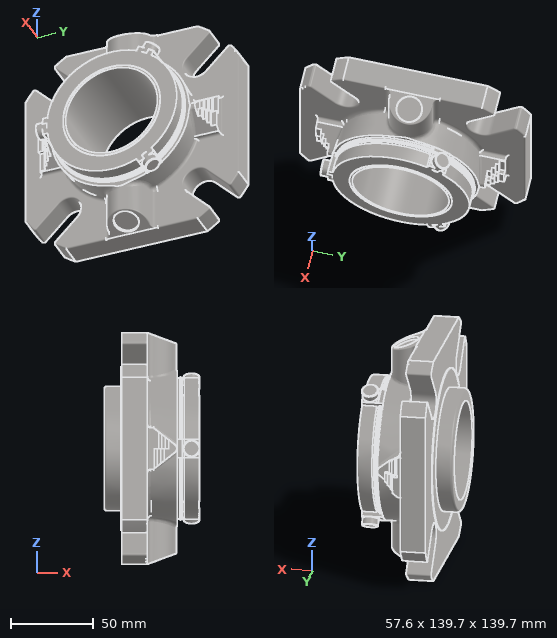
import cadquery as cq
import math


SLEEVE_START = -9.95
SLEEVE_END = 47.68
SLEEVE_BORE_DIA = 59.99
SLEEVE_DIA = 63.48
SLEEVE_COLLAR_DIA = 75.16
SLEEVE_COLLAR_FILLET = 1.5

FLANGE_SIZE = 139.7
CORNER_DIA = 164.0
FLANGE_START = 0.5
FLANGE_END = 16.1
FLANGE_EDGE_FILLET = 1.1
RAISED_FACE_DIA = 98.5
SLOT_ANGLES = [45, 135, 225, 315]
SLOT_WIDTH = 17.4
SLOT_CENTRE_RADIUS = 59.6
SLOT_MOUTH_FILLET = 1.5

BODY_START_DIA = 88.0
BODY_END_DIA = 90.2
BODY_END = 34.2
BODY_OVERLONG_END = 45.0
CONE_TOLERANCE = 0.01
BODY_ROOT_FILLET = 2.3

BOSS_START = 15.0
BOSS_SHOULDER = 19.6
BOSS_INNER_RADIUS = 36.0
PORT_ROOT_FILLET = 2.8
STEP_ROOT_FILLET = 1.5

PORT_ANGLES = [0, 180]
PORT_TIP = 33.7
PORT_HALF_WIDTH = 13.4
PORT_FLARE = 3.5
PORT_FACE_ANGLE = 20.5
PORT_EDGE_FILLET = 0.7
PORT_HOLE_DIA = 15.5
PORT_HOLE_DEPTH = 1.5
PORT_HOLE_X = 24.8

STEP_ANGLES = [90, 270]
STEP_TIP = 33.85
STEP_HALF_WIDTH = 12.6
STEP_TIP_HALF_WIDTH = 2.6
STEP_NOSE_START = 32.4
STEP_FLARE = 1.8
STEP_RADII = [58.2, 54.8, 53.0, 51.1]
STEP_ENDS = [22.8, 24.7, 26.9, 28.9]
STEP_TIP_RADIUS = 48.7
STEP_HALF_OFFSET = 2.7

NECK_DIA = 85.22
NECK_END = 37.1
RING_DIA = 86.74
RING_CENTRE = 36.1
RING_WIDTH = 0.4
RING_GROOVE_WIDTH = 0.3
RING_GROOVE_DEPTH = 0.6

LOCK_COLLAR_DIA = 85.22
LOCK_COLLAR_START = 38.3
LOCK_COLLAR_END = 47.35
LOCK_COLLAR_BEVEL_LENGTH = 0.7
LOCK_COLLAR_BEVEL_DEPTH = 0.15
GAP_DIA = 63.98

CLIP_ANGLES = [90, 210, 330]
CLIP_WIDTH = 11.4
CLIP_INNER_RADIUS = 42.3
CLIP_OUTER_RADIUS = 45.4
CLIP_RIB_RADIUS = 41.0
CLIP_GROOVE_DEPTH = 0.15
SCREW_X = 42.68
SCREW_DIA = 10.0
SCREW_TOP_RADIUS = 49.8
SCREW_BEVEL = 0.4


def disc(start, end, dia):
    """Cylinder about the shaft axis from X = start to X = end."""
    return cq.Workplane("YZ").workplane(offset=start).circle(dia / 2).extrude(end - start)


def turned(points):
    """Solid of revolution about the shaft axis from (x, radius) points."""
    return cq.Workplane("XY").polyline(points).close().revolve(360, (0, 0, 0), (1, 0, 0))


def around_axis(shape, angle):
    """Turn a feature about the shaft axis, from +Z towards -Y."""
    return shape.rotate((0, 0, 0), (1, 0, 0), angle)


def is_slot_mouth(point):
    """True where a slot wall meets the rounded corner of the flange."""
    on_corner = math.isclose(math.hypot(point.y, point.z), CORNER_DIA / 2, rel_tol=1e-4)
    return on_corner and max(abs(point.y), abs(point.z)) < FLANGE_SIZE / 2 - SLOT_MOUTH_FILLET


def make_flange():
    """Square flange with open bolt slots and a raised mounting face."""
    thickness = FLANGE_END - FLANGE_START
    plate = (
        cq.Workplane("YZ", origin=(FLANGE_START, 0, 0))
        .rect(FLANGE_SIZE, FLANGE_SIZE)
        .extrude(thickness)
    )
    plate = plate.intersect(disc(FLANGE_START, FLANGE_END, CORNER_DIA))

    slot_length = CORNER_DIA / 2
    slot = (
        cq.Workplane("XY", origin=(FLANGE_START, 0, SLOT_CENTRE_RADIUS))
        .rect(thickness, SLOT_WIDTH)
        .extrude(slot_length)
        .translate((thickness / 2, 0, 0))
    )
    slot_end = disc(FLANGE_START, FLANGE_END, SLOT_WIDTH).translate((0, 0, SLOT_CENTRE_RADIUS))
    slot = slot.union(slot_end)
    for angle in SLOT_ANGLES:
        plate = plate.cut(around_axis(slot, angle))

    mouth_edges = plate.edges("|X").filter(lambda edge: is_slot_mouth(edge.Center()))
    plate = mouth_edges.fillet(SLOT_MOUTH_FILLET)
    plate = plate.faces(">X").edges().fillet(FLANGE_EDGE_FILLET)
    return plate.union(disc(0, FLANGE_START, RAISED_FACE_DIA))


def body_radius(x):
    """Radius of the body cone at X = x."""
    taper = (BODY_END_DIA - BODY_START_DIA) / (BODY_END - FLANGE_END)
    return (BODY_START_DIA + taper * (x - FLANGE_END)) / 2


def is_boss_root(edge):
    """True for an edge that lies on the body cone, away from both its ends."""
    points = [edge.positionAt(place) for place in (0, 0.5, 1)]
    on_cone = all(abs(math.hypot(p.y, p.z) - body_radius(p.x)) < CONE_TOLERANCE for p in points)
    between_ends = BOSS_START + CONE_TOLERANCE < points[1].x < BODY_OVERLONG_END - CONE_TOLERANCE
    return on_cone and between_ends and edge.geomType() != "LINE"


def make_root_fillet():
    """Ring that blends the start of the body into the flange."""
    fillet_end = FLANGE_END + BODY_ROOT_FILLET
    start_radius = body_radius(fillet_end)
    outer = start_radius + BODY_ROOT_FILLET
    bend = BODY_ROOT_FILLET * (1 - math.sqrt(0.5))
    return (
        cq.Workplane("XY")
        .moveTo(FLANGE_START, 0)
        .lineTo(FLANGE_START, outer)
        .lineTo(FLANGE_END, outer)
        .threePointArc((FLANGE_END + bend, start_radius + bend), (fillet_end, start_radius))
        .lineTo(fillet_end, 0)
        .close()
        .revolve(360, (0, 0, 0), (1, 0, 0))
    )


def make_gland(boss, angles, root_fillet):
    """Cone with bosses blended into it; built overlong, then trimmed to the body length."""
    gland = turned([
        (BOSS_START, 0),
        (BOSS_START, body_radius(BOSS_START)),
        (BODY_OVERLONG_END, body_radius(BODY_OVERLONG_END)),
        (BODY_OVERLONG_END, 0),
    ])
    for angle in angles:
        gland = gland.union(around_axis(boss, angle))
    root_edges = gland.edges().filter(is_boss_root)
    blended = root_edges.fillet(root_fillet)
    return blended.intersect(disc(BOSS_START, BODY_END, 2 * FLANGE_SIZE))


def make_port_boss():
    """Boss towards +Z with a round nose, flared foot and shallow round recess."""
    flare_end = BOSS_SHOULDER - PORT_FLARE
    bend = PORT_FLARE * (1 - math.sqrt(0.5))
    foot = PORT_HALF_WIDTH + PORT_FLARE
    top = FLANGE_SIZE / 2
    boss = (
        cq.Workplane("XY", origin=(0, 0, BOSS_INNER_RADIUS))
        .moveTo(BOSS_START, -foot)
        .lineTo(flare_end, -foot)
        .threePointArc((flare_end + bend, -PORT_HALF_WIDTH - bend), (BOSS_SHOULDER, -PORT_HALF_WIDTH))
        .threePointArc((PORT_TIP, 0), (BOSS_SHOULDER, PORT_HALF_WIDTH))
        .threePointArc((flare_end + bend, PORT_HALF_WIDTH + bend), (flare_end, foot))
        .lineTo(BOSS_START, foot)
        .close()
        .extrude(top - BOSS_INNER_RADIUS)
    )
    slope = math.tan(math.radians(PORT_FACE_ANGLE))
    drop = slope * (PORT_TIP - FLANGE_END)
    above_face = (
        cq.Workplane("XZ", origin=(0, foot, 0))
        .polyline([(FLANGE_END, top), (PORT_TIP, top), (PORT_TIP, top - drop)])
        .close()
        .extrude(2 * foot)
    )
    boss = boss.cut(above_face)
    hole_z = top - slope * (PORT_HOLE_X - FLANGE_END)
    sloped_face = boss.faces(cq.selectors.NearestToPointSelector((PORT_HOLE_X, 0, hole_z)))
    boss = sloped_face.edges(">X").fillet(PORT_EDGE_FILLET)

    hole = (
        cq.Workplane("XY")
        .circle(PORT_HOLE_DIA / 2)
        .extrude(2 * PORT_HOLE_DEPTH)
        .translate((0, 0, -PORT_HOLE_DEPTH))
        .rotate((0, 0, 0), (0, 1, 0), PORT_FACE_ANGLE)
        .translate((PORT_HOLE_X, 0, hole_z))
    )
    return boss.cut(hole)


def make_stair(shift, y_end):
    """Staircase block for one half of a stepped boss, with its treads cut short by the given shift."""
    flare_end = FLANGE_END + STEP_FLARE
    bend = STEP_FLARE * (1 - math.sqrt(0.5))
    base_radius = STEP_RADII[0]
    foot_radius = base_radius + STEP_FLARE
    stair = (
        cq.Workplane("XZ", origin=(0, y_end, 0))
        .moveTo(BOSS_START, BOSS_INNER_RADIUS)
        .lineTo(BOSS_START, foot_radius)
        .lineTo(FLANGE_END, foot_radius)
        .threePointArc((FLANGE_END + bend, base_radius + bend), (flare_end, base_radius))
    )
    lower_radii = STEP_RADII[1:] + [STEP_TIP_RADIUS]
    for radius, lower_radius, end in zip(STEP_RADII, lower_radii, STEP_ENDS):
        riser_x = end - shift
        stair = stair.lineTo(riser_x, radius).lineTo(riser_x, lower_radius)
    stair = stair.lineTo(STEP_TIP, STEP_TIP_RADIUS).lineTo(STEP_TIP, BOSS_INNER_RADIUS)
    return stair.close().extrude(STEP_HALF_WIDTH + STEP_FLARE)


def make_stepped_boss():
    """Tapering boss towards +Z; its two halves have staggered steps."""
    flare_end = FLANGE_END + STEP_FLARE
    bend = STEP_FLARE * (1 - math.sqrt(0.5))
    foot = STEP_HALF_WIDTH + STEP_FLARE
    outline = (
        cq.Workplane("XY", origin=(0, 0, BOSS_INNER_RADIUS))
        .moveTo(BOSS_START, -foot)
        .lineTo(FLANGE_END, -foot)
        .threePointArc((FLANGE_END + bend, -STEP_HALF_WIDTH - bend), (flare_end, -STEP_HALF_WIDTH))
        .lineTo(BOSS_SHOULDER, -STEP_HALF_WIDTH)
        .lineTo(STEP_NOSE_START, -STEP_TIP_HALF_WIDTH)
        .threePointArc((STEP_TIP, 0), (STEP_NOSE_START, STEP_TIP_HALF_WIDTH))
        .lineTo(BOSS_SHOULDER, STEP_HALF_WIDTH)
        .lineTo(flare_end, STEP_HALF_WIDTH)
        .threePointArc((FLANGE_END + bend, STEP_HALF_WIDTH + bend), (FLANGE_END, foot))
        .lineTo(BOSS_START, foot)
        .close()
        .extrude(STEP_RADII[0] + STEP_FLARE - BOSS_INNER_RADIUS)
    )
    stairs = make_stair(0, foot).union(make_stair(STEP_HALF_OFFSET, 0))
    return outline.intersect(stairs)


def make_neck():
    """Neck behind the body with a thin snap ring between two grooves."""
    neck = disc(BODY_END, NECK_END, NECK_DIA)
    neck = neck.union(disc(RING_CENTRE - RING_WIDTH / 2, RING_CENTRE + RING_WIDTH / 2, RING_DIA))
    for side in (-1, 1):
        centre = RING_CENTRE + side * (RING_WIDTH + RING_GROOVE_WIDTH) / 2
        start = centre - RING_GROOVE_WIDTH / 2
        end = centre + RING_GROOVE_WIDTH / 2
        groove = disc(start, end, RING_DIA).cut(disc(start, end, NECK_DIA - 2 * RING_GROOVE_DEPTH))
        neck = neck.cut(groove)
    return neck


def make_lock_collar():
    """Collar behind the neck, slightly bevelled at both ends."""
    radius = LOCK_COLLAR_DIA / 2
    low = radius - LOCK_COLLAR_BEVEL_DEPTH
    return turned([
        (LOCK_COLLAR_START, 0),
        (LOCK_COLLAR_START, low),
        (LOCK_COLLAR_START + LOCK_COLLAR_BEVEL_LENGTH, radius),
        (LOCK_COLLAR_END - LOCK_COLLAR_BEVEL_LENGTH, radius),
        (LOCK_COLLAR_END, low),
        (LOCK_COLLAR_END, 0),
    ])


def make_clip():
    """Curved clip towards +Z, with a rib in the collar gap, a shallow groove and a screw head."""
    length = LOCK_COLLAR_END - BODY_END
    groove_radius = CLIP_OUTER_RADIUS - CLIP_GROOVE_DEPTH
    shell = turned([
        (BODY_END, CLIP_INNER_RADIUS),
        (BODY_END, CLIP_OUTER_RADIUS),
        (NECK_END, CLIP_OUTER_RADIUS),
        (NECK_END, groove_radius),
        (LOCK_COLLAR_START, groove_radius),
        (LOCK_COLLAR_START, CLIP_OUTER_RADIUS),
        (LOCK_COLLAR_END, CLIP_OUTER_RADIUS),
        (LOCK_COLLAR_END, CLIP_INNER_RADIUS),
        (LOCK_COLLAR_START, CLIP_INNER_RADIUS),
        (LOCK_COLLAR_START, CLIP_RIB_RADIUS),
        (NECK_END, CLIP_RIB_RADIUS),
        (NECK_END, CLIP_INNER_RADIUS),
    ])
    strip = (
        cq.Workplane("XY", origin=(BODY_END + length / 2, 0, 0))
        .rect(length, CLIP_WIDTH)
        .extrude(SCREW_TOP_RADIUS)
    )
    screw = (
        cq.Workplane("XY", origin=(SCREW_X, 0, CLIP_INNER_RADIUS))
        .circle(SCREW_DIA / 2)
        .extrude(SCREW_TOP_RADIUS - CLIP_INNER_RADIUS)
        .faces(">Z")
        .chamfer(SCREW_BEVEL)
    )
    return shell.intersect(strip).union(screw)


def make_sleeve():
    """Sleeve running through the gland, thicker in front of the flange."""
    collar = disc(SLEEVE_START, 0, SLEEVE_COLLAR_DIA).faces("<X").edges().fillet(SLEEVE_COLLAR_FILLET)
    return collar.union(disc(0, SLEEVE_END, SLEEVE_DIA))


gland = make_gland(make_port_boss(), PORT_ANGLES, PORT_ROOT_FILLET)
gland = gland.union(make_gland(make_stepped_boss(), STEP_ANGLES, STEP_ROOT_FILLET))
gland = gland.union(make_root_fillet())

result = gland.union(make_flange()).union(make_neck()).union(make_lock_collar())
result = result.union(disc(NECK_END, LOCK_COLLAR_START, GAP_DIA))
for angle in CLIP_ANGLES:
    result = result.union(around_axis(make_clip(), angle))
result = result.union(make_sleeve())
result = result.cut(disc(SLEEVE_START, SLEEVE_END, SLEEVE_BORE_DIA))